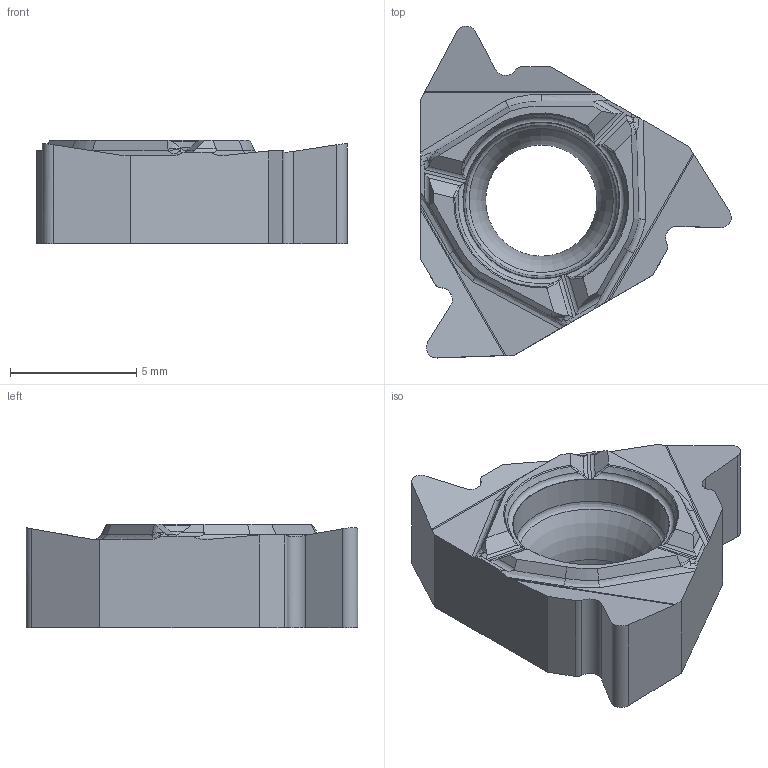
import cadquery as cq
import math

TEETH = 3
TOOTH_PITCH = 2 * math.pi / TEETH
HEIGHT = 4.1
FLOOR_Z = 3.5
SIDE_FLAT = 9.525 / 2
BIG = 20.0

TIP_RADIUS = 0.41
TIP_X = -2.97
TIP_TOP = 6.895
FLANK_ANGLE = math.radians(28)
HEEL_Y = 5.29
HEEL_RADIUS = 0.28
RELIEF_RADIUS = 0.47
RELIEF_BOTTOM = 4.94

RAKE_ANGLE = math.radians(10)
CREASE_Y = 4.3
CREASE_RADIUS = 0.3

BOSS_WALL = 3.73
SLANT_WALL = 3.64
SLANT_ANGLE = math.radians(31.6)
WALL_DRAFT = math.radians(25)
BOSS_FILLET = 0.3

BENCH_Z = 3.62
BENCH_WALL = 4.25
BENCH_FILLET = 0.24
BENCH_CORNER_RADIUS = 0.6

NOTCH_ANGLE = 166.0
NOTCH_FLOOR_HALF = 0.15
NOTCH_TOP_HALF = 0.74
NOTCH_FILLET = 0.25
NOTCH_END_RADIUS = 0.08

MOUTH_RADIUS = 3.46
MOUTH_CHAMFER = 0.04
LEDGE_OUTER = 3.3
LEDGE_FILLET = 0.2
UPPER_BORE = 3.08
UPPER_BORE_FOOT = 3.0
UPPER_BORE_FOOT_Z = 2.6
SEAT_RADIUS = 2.85
SEAT_Z = 2.33
HOLE_RADIUS = 2.2
HOLE_TOP_Z = 0.35


def polar(radius, angle, center=(0, 0)):
    return (center[0] + radius * math.cos(angle), center[1] + radius * math.sin(angle))


def turned(point, index):
    """The point moved clockwise about the bore axis by a number of teeth."""
    radius = math.hypot(*point)
    angle = math.atan2(point[1], point[0])
    return polar(radius, angle - index * TOOTH_PITCH)


def around(shape):
    """One copy of the shape for each tooth."""
    pitch = math.degrees(TOOTH_PITCH)
    return [shape.rotate((0, 0, 0), (0, 0, 1), -index * pitch) for index in range(TEETH)]


def upright_arc_radius(run, height):
    """Radius of an arc that starts upright and moves sideways by run over the height."""
    return (run**2 + height**2) / (2 * run)


def insert_prism():
    """Full-height insert outline: three pointed teeth joined by three side flats."""
    tip = (TIP_X, TIP_TOP - TIP_RADIUS)
    tip_left = polar(TIP_RADIUS, math.pi - FLANK_ANGLE, tip)
    tip_right = polar(TIP_RADIUS, FLANK_ANGLE, tip)
    flank_drop = (tip_left[0] + SIDE_FLAT) / math.tan(FLANK_ANGLE)
    flank_foot = (-SIDE_FLAT, tip_left[1] - flank_drop)

    relief_y = RELIEF_BOTTOM + RELIEF_RADIUS
    reach = TIP_RADIUS + RELIEF_RADIUS
    relief_shift = (reach + (tip[1] - relief_y) * math.sin(FLANK_ANGLE)) / math.cos(FLANK_ANGLE)
    relief = (TIP_X + relief_shift, relief_y)

    centre_gap = RELIEF_RADIUS + HEEL_RADIUS
    contact = math.asin((HEEL_Y - HEEL_RADIUS - relief_y) / centre_gap)
    heel = polar(centre_gap, contact, relief)
    heel_mid_angle = (contact + math.pi + math.pi / 2) / 2

    next_flat = math.pi - TOOTH_PITCH
    heel_end = ((SIDE_FLAT - HEEL_Y * math.sin(next_flat)) / math.cos(next_flat), HEEL_Y)

    relief_start = polar(RELIEF_RADIUS, math.pi + FLANK_ANGLE, relief)
    relief_low = (relief[0], RELIEF_BOTTOM)
    relief_end = polar(RELIEF_RADIUS, contact, relief)
    heel_mid = polar(HEEL_RADIUS, heel_mid_angle, heel)
    heel_top = (heel[0], HEEL_Y)

    sketch = cq.Workplane("XY").moveTo(*turned(heel_end, -1))
    for i in range(TEETH):
        sketch = (
            sketch.lineTo(*turned(flank_foot, i))
            .lineTo(*turned(tip_left, i))
            .threePointArc(turned((TIP_X, TIP_TOP), i), turned(tip_right, i))
            .lineTo(*turned(relief_start, i))
            .threePointArc(turned(relief_low, i), turned(relief_end, i))
            .threePointArc(turned(heel_mid, i), turned(heel_top, i))
            .lineTo(*turned(heel_end, i))
        )
    return sketch.close().extrude(HEIGHT)


def boss_section(z):
    """Boss outline at height z: straight walls, round corners and slanted walls in turn."""
    spread = (HEIGHT - z) * math.tan(WALL_DRAFT)
    wall = BOSS_WALL + spread
    slant = SLANT_WALL + spread
    slant_normal = math.pi / 2 + SLANT_ANGLE
    arc_start = slant_normal - math.acos(slant / wall)
    arc_mid = (arc_start + math.pi / 2) / 2

    next_normal = slant_normal - TOOTH_PITCH
    corner = ((slant - wall * math.sin(next_normal)) / math.cos(next_normal), wall)

    sketch = cq.Workplane("XY").workplane(offset=z).moveTo(*turned(corner, -1))
    for i in range(TEETH):
        sketch = (
            sketch.lineTo(*turned(polar(wall, arc_start), i))
            .threePointArc(turned(polar(wall, arc_mid), i), turned((0, wall), i))
            .lineTo(*turned(corner, i))
        )
    return sketch.close().val()


def boss_on_floor():
    """Drafted boss standing on a wide disc, with a fillet around its foot."""
    boss = cq.Solid.makeLoft([boss_section(FLOOR_Z), boss_section(HEIGHT)], True)
    disc = cq.Workplane("XY").circle(BIG).extrude(FLOOR_Z)
    reach = BIG / 2
    margin = 0.01
    foot = cq.selectors.BoxSelector(
        (-reach, -reach, FLOOR_Z - margin), (reach, reach, FLOOR_Z + margin)
    )
    return disc.union(cq.Workplane(boss)).edges(foot).fillet(BOSS_FILLET)


def bench_cutter():
    """Cutter for the bench on the -X side: level floor, drafted wall, filleted foot."""
    wall_foot = BENCH_WALL + (HEIGHT - BENCH_Z) * math.tan(WALL_DRAFT)
    cutter = (
        cq.Workplane("XZ")
        .polyline([(-wall_foot, BENCH_Z), (-BENCH_WALL, HEIGHT), (-BIG, HEIGHT), (-BIG, BENCH_Z)])
        .close()
        .extrude(BIG / 2, both=True)
    )
    return cutter.edges("|Y").edges("<Z").edges(">X").fillet(BENCH_FILLET)


def round_bench_corners(body):
    """Round the upright edges where the slanted walls meet the bench walls."""
    mid_z = (HEIGHT + BENCH_Z) / 2
    spread = (HEIGHT - mid_z) * math.tan(WALL_DRAFT)
    slant_normal = math.pi / 2 + SLANT_ANGLE
    bench_x = -BENCH_WALL - spread
    slant_y = (SLANT_WALL + spread - bench_x * math.cos(slant_normal)) / math.sin(slant_normal)
    for i in range(TEETH):
        near = cq.selectors.NearestToPointSelector((*turned((bench_x, slant_y), i), mid_z))
        body = body.edges(near).fillet(BENCH_CORNER_RADIUS)
    return body


def rake_wedge():
    """Material under the sloped rake face of the +Y tooth, with a rounded crease."""
    tangent = CREASE_RADIUS * math.tan(RAKE_ANGLE / 2)
    start_y = CREASE_Y - tangent
    mid_rise = CREASE_RADIUS * (1 - math.cos(RAKE_ANGLE / 2))
    mid = (start_y + CREASE_RADIUS * math.sin(RAKE_ANGLE / 2), FLOOR_Z + mid_rise)
    end = (CREASE_Y + tangent * math.cos(RAKE_ANGLE), FLOOR_Z + tangent * math.sin(RAKE_ANGLE))
    top_z = FLOOR_Z + (TIP_TOP - CREASE_Y) * math.tan(RAKE_ANGLE)
    return (
        cq.Workplane("YZ")
        .moveTo(start_y, FLOOR_Z)
        .threePointArc(mid, end)
        .lineTo(TIP_TOP, top_z)
        .lineTo(TIP_TOP, 0)
        .lineTo(start_y, 0)
        .close()
        .extrude(BIG, both=True)
    )


def notch_cutter():
    """Radial V-notch with a narrow floor and rounded floor edges."""
    cutter = (
        cq.Workplane("YZ")
        .moveTo(-NOTCH_TOP_HALF, HEIGHT)
        .lineTo(-NOTCH_FLOOR_HALF, BENCH_Z)
        .lineTo(NOTCH_FLOOR_HALF, BENCH_Z)
        .lineTo(NOTCH_TOP_HALF, HEIGHT)
        .close()
        .extrude(BIG)
    )
    cutter = cutter.edges("|X").edges("<Z").fillet(NOTCH_FILLET)
    return cutter.rotate((0, 0, 0), (0, 0, 1), NOTCH_ANGLE)


def bore_cutter():
    """Stepped bore: drafted mouth, ledge, upper bore, rounded screw seat and hole."""
    seat_arc = upright_arc_radius(SEAT_RADIUS - HOLE_RADIUS, SEAT_Z - HOLE_TOP_Z)
    half_turn = math.asin((SEAT_Z - HOLE_TOP_Z) / seat_arc) / 2
    seat_mid = polar(seat_arc, math.pi - half_turn, (HOLE_RADIUS + seat_arc, HOLE_TOP_Z))

    hollow_arc = upright_arc_radius(UPPER_BORE_FOOT - SEAT_RADIUS, UPPER_BORE_FOOT_Z - SEAT_Z)
    half_turn = math.asin((UPPER_BORE_FOOT_Z - SEAT_Z) / hollow_arc) / 2
    hollow_mid = polar(hollow_arc, -half_turn, (UPPER_BORE_FOOT - hollow_arc, UPPER_BORE_FOOT_Z))

    ledge_centre = (LEDGE_OUTER - LEDGE_FILLET, BENCH_Z + LEDGE_FILLET)
    ledge_mid = polar(LEDGE_FILLET, -math.pi / 4, ledge_centre)
    return (
        cq.Workplane("XZ")
        .lineTo(HOLE_RADIUS, 0)
        .lineTo(HOLE_RADIUS, HOLE_TOP_Z)
        .threePointArc(seat_mid, (SEAT_RADIUS, SEAT_Z))
        .threePointArc(hollow_mid, (UPPER_BORE_FOOT, UPPER_BORE_FOOT_Z))
        .lineTo(UPPER_BORE, BENCH_Z)
        .lineTo(ledge_centre[0], BENCH_Z)
        .threePointArc(ledge_mid, (LEDGE_OUTER, ledge_centre[1]))
        .lineTo(MOUTH_RADIUS - MOUTH_CHAMFER, HEIGHT - MOUTH_CHAMFER)
        .lineTo(MOUTH_RADIUS, HEIGHT)
        .lineTo(0, HEIGHT)
        .close()
        .revolve(360, (0, 0, 0), (0, 1, 0))
    )


def round_notch_ends(body):
    """Round the sloping edges where the notch walls break into the bore mouth."""
    least_rise = 0.01

    def is_notch_end(edge):
        centre = edge.Center()
        in_mouth = UPPER_BORE < math.hypot(centre.x, centre.y) < MOUTH_RADIUS
        rise = abs(edge.startPoint().z - edge.endPoint().z)
        return in_mouth and centre.z > BENCH_Z and rise > least_rise

    ends = [edge for edge in body.edges().vals() if is_notch_end(edge)]
    return body.newObject(ends).fillet(NOTCH_END_RADIUS)


def build():
    body = boss_on_floor()
    for cutter in around(bench_cutter()):
        body = body.cut(cutter)
    body = round_bench_corners(body)
    for wedge in around(rake_wedge()):
        body = body.union(wedge)
    body = body.intersect(insert_prism())
    for cutter in around(notch_cutter()):
        body = body.cut(cutter)
    return round_notch_ends(body.cut(bore_cutter()))


result = build()